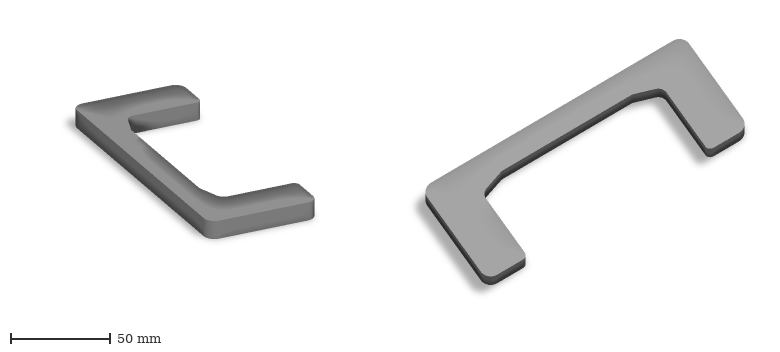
import cadquery as cq

length = 157.2
depth = 61.2
thickness = 10.0

arm_width = 24.4
bar_width = 14.0
haunch_length = 15.0
haunch_height = 5.0

outer_radius = 6.0
arm_tip_radius = 3.0
haunch_arm_radius = 5.0
haunch_foot_radius = 5.0

half_length = length / 2
half_depth = depth / 2
arm_inner_x = half_length - arm_width
foot_x = arm_inner_x - haunch_length
bar_inner_y = bar_width - half_depth
haunch_y = bar_inner_y + haunch_height


def sharp_handle():
    """Extruded U shape, symmetric about the YZ plane, before rounding."""
    right_side = [
        (half_length, -half_depth),
        (half_length, half_depth),
        (arm_inner_x, half_depth),
        (arm_inner_x, haunch_y),
        (foot_x, bar_inner_y),
    ]
    left_side = [(-x, y) for x, y in reversed(right_side)]
    return cq.Workplane("XY").polyline(right_side + left_side).close().extrude(thickness)


def round_corner_pair(body, x, y, radius):
    """Fillet the vertical edges at (x, y) and (-x, y)."""
    for corner_x in (x, -x):
        selector = cq.selectors.NearestToPointSelector((corner_x, y, thickness / 2))
        body = body.edges("|Z").edges(selector).fillet(radius)
    return body


result = sharp_handle()
result = round_corner_pair(result, half_length, -half_depth, outer_radius)
result = round_corner_pair(result, half_length, half_depth, outer_radius)
result = round_corner_pair(result, arm_inner_x, half_depth, arm_tip_radius)
result = round_corner_pair(result, arm_inner_x, haunch_y, haunch_arm_radius)
result = round_corner_pair(result, foot_x, bar_inner_y, haunch_foot_radius)